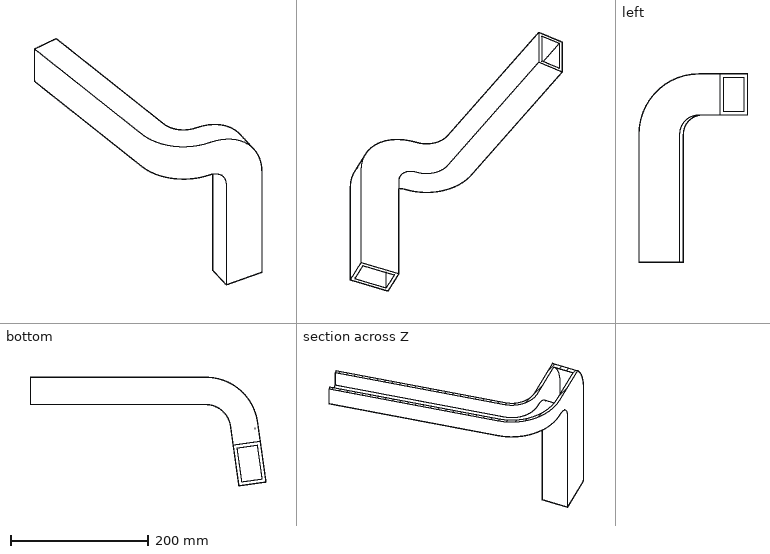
import cadquery as cq
import math

overall_x = 343.5
overall_z = 274.7

tube_width = 40.2
tube_height = 60.0
wall = 5.0

side_inner_radius = 36.0
side_outer_radius = side_inner_radius + tube_width
side_angle = 82.0

drop_inner_radius = 28.0
drop_outer_radius = drop_inner_radius + tube_height

turn = math.radians(side_angle)
long_leg = overall_x - side_outer_radius * math.sin(turn) - drop_outer_radius * math.cos(turn)
drop_leg = overall_z - drop_outer_radius

side_radius = side_inner_radius + tube_width / 2
drop_radius = drop_inner_radius + tube_height / 2
heading = cq.Vector(math.cos(turn), math.sin(turn), 0)
across = cq.Vector(-math.sin(turn), math.cos(turn), 0)
up = cq.Vector(0, 0, 1)

side_bend_end = cq.Vector(
    long_leg + side_radius * math.sin(turn),
    side_radius * (1 - math.cos(turn)),
    0,
)
drop_bend_end = side_bend_end + heading * drop_radius - up * drop_radius


def section(origin, width_direction, normal, width, height):
    """Rectangle centred on the centreline, square to the tube."""
    plane = cq.Plane(origin=origin, xDir=width_direction, normal=normal)
    return cq.Workplane(plane).rect(width, height)


def bent_bar(width, height):
    """Solid bar following the whole bent centreline."""
    along_x = cq.Vector(1, 0, 0)
    along_y = cq.Vector(0, 1, 0)
    long_bar = section(cq.Vector(0, 0, 0), along_y, along_x, width, height).extrude(long_leg)

    side_start = cq.Vector(long_leg, 0, 0)
    side_bend = section(side_start, along_y, along_x, width, height).revolve(
        side_angle, (side_radius, -3.5, 0), (side_radius, 3.5, 0)
    )

    drop_bend = section(side_bend_end, across, heading, width, height).revolve(
        90, (-3.5, -drop_radius, 0), (3.5, -drop_radius, 0)
    )

    drop_bar = section(drop_bend_end, across, -up, width, height).extrude(drop_leg)
    return long_bar.union(side_bend).union(drop_bend).union(drop_bar)


outer = bent_bar(tube_width, tube_height)
bore = bent_bar(tube_width - 2 * wall, tube_height - 2 * wall)
result = outer.cut(bore)